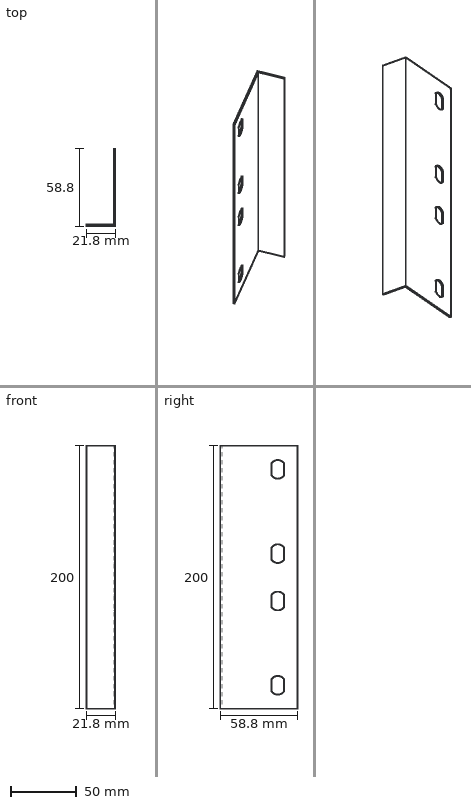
import cadquery as cq

height = 200.0
flange_width = 21.8
web_width = 58.8
thickness = 1.2

slot_width = 9.2
slot_length = 14.0
slot_end_radius = 5.8
slot_from_free_edge = 15.0
outer_slot_offset = 82.0
inner_slot_offset = 18.0

flange = cq.Workplane("XY").box(flange_width, thickness, height, centered=False)
web = (
    cq.Workplane("XY")
    .box(thickness, web_width, height, centered=False)
    .translate((flange_width - thickness, 0, 0))
)


def slot_cutter(center_z):
    """Straight-sided slot with shallow arc ends, running along Z."""
    half_width = slot_width / 2
    half_length = slot_length / 2
    arc_rise = slot_end_radius - (slot_end_radius**2 - half_width**2) ** 0.5
    half_straight = half_length - arc_rise
    return (
        cq.Workplane("YZ")
        .center(web_width - slot_from_free_edge, center_z)
        .moveTo(-half_width, -half_straight)
        .threePointArc((0, -half_length), (half_width, -half_straight))
        .lineTo(half_width, half_straight)
        .threePointArc((0, half_length), (-half_width, half_straight))
        .close()
        .extrude(flange_width)
    )


result = flange.union(web)
for offset in (-outer_slot_offset, -inner_slot_offset, inner_slot_offset, outer_slot_offset):
    result = result.cut(slot_cutter(height / 2 + offset))